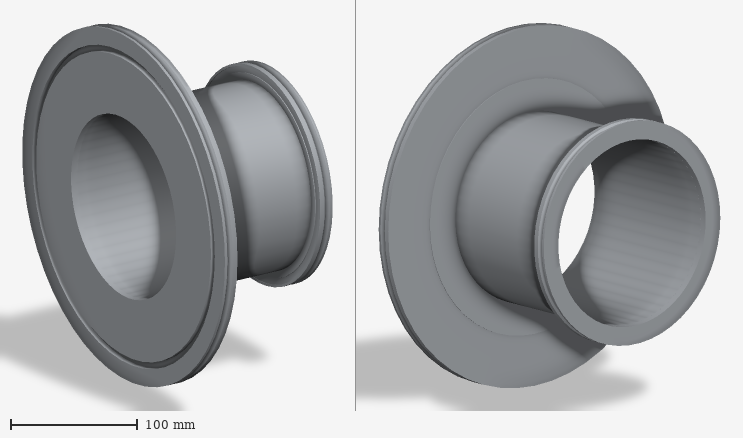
import cadquery as cq

large_diameter = 290.0
overall_length = 138.0

tube_outer_diameter = 154.0
bore_diameter = 150.2

small_diameter = 180.0
flange_thickness = 12.0
socket_floor = 6.0
large_pad_diameter = 206.0
large_pad_height = 0.5

back_recess_outer_diameter = 176.0
back_recess_inner_diameter = 166.0
back_recess_depth = 0.72

clamp_groove_depth = 2.5
clamp_groove_half_width = 2.5
clamp_groove_offset = 5.0

face_groove_outer_diameter = 261.0
face_groove_inner_diameter = 250.0
face_groove_depth = 4.4

front_face = -overall_length / 2
back_face = overall_length / 2


def cylinder(diameter, start, length):
    """Cylinder along +Y from the axial position start."""
    plane = cq.Workplane("XZ", origin=(0, start, 0))
    return plane.circle(diameter / 2).extrude(-length)


def ring(outer_diameter, inner_diameter, start, length):
    """Hollow cylinder along +Y from the axial position start."""
    plane = cq.Workplane("XZ", origin=(0, start, 0))
    return plane.circle(outer_diameter / 2).circle(inner_diameter / 2).extrude(-length)


def clamp_groove(diameter):
    """Triangular ring that cuts a V groove into a rim."""
    rim = diameter / 2
    profile = [
        (rim - clamp_groove_depth, clamp_groove_offset),
        (rim, clamp_groove_offset - clamp_groove_half_width),
        (rim, clamp_groove_offset + clamp_groove_half_width),
    ]
    return cq.Workplane("XY").polyline(profile).close().revolve(360, (0, 0, 0), (0, 1, 0))


def make_flange(diameter):
    """Flange with its sealing face at Y = 0 and its tube side toward +Y."""
    return cylinder(diameter, 0, flange_thickness).cut(clamp_groove(diameter))


def cut_tube_seat(flange, height):
    """Cut the bore and the tube socket through a flange of the given height."""
    bore = cylinder(bore_diameter, 0, height)
    socket = cylinder(tube_outer_diameter, socket_floor, height - socket_floor)
    return flange.cut(bore).cut(socket)


def make_large_flange():
    height = flange_thickness + large_pad_height
    pad = cylinder(large_pad_diameter, flange_thickness, large_pad_height)
    face_groove = ring(face_groove_outer_diameter, face_groove_inner_diameter, 0, face_groove_depth)
    flange = make_flange(large_diameter).union(pad).cut(face_groove)
    return cut_tube_seat(flange, height).translate((0, front_face, 0))


def make_small_flange():
    recess = ring(
        back_recess_outer_diameter,
        back_recess_inner_diameter,
        flange_thickness - back_recess_depth,
        back_recess_depth,
    )
    flange = cut_tube_seat(make_flange(small_diameter).cut(recess), flange_thickness)
    return flange.rotate((0, 0, 0), (0, 0, 1), 180).translate((0, back_face, 0))


def make_tube():
    length = overall_length - 2 * socket_floor
    return ring(tube_outer_diameter, bore_diameter, front_face + socket_floor, length)


large_flange = make_large_flange()
small_flange = make_small_flange()
tube = make_tube()

result = cq.Compound.makeCompound([large_flange.val(), small_flange.val(), tube.val()])